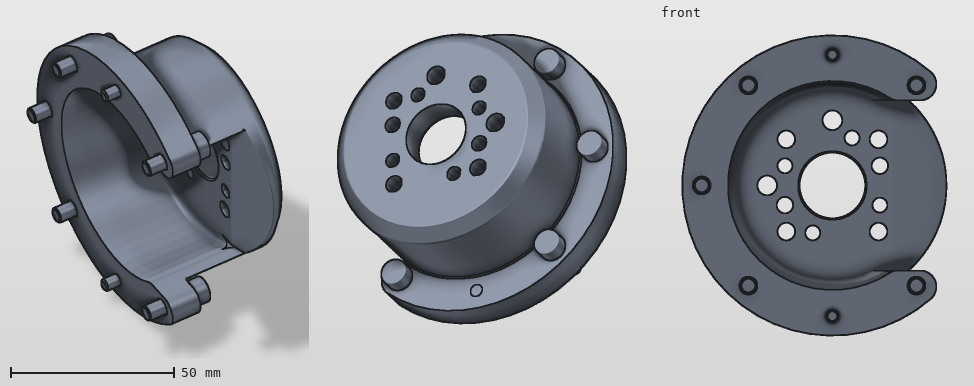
import cadquery as cq
import math


flange_radius = 46.0
flange_thickness = 10.0

cup_radius = 35.0
bore_radius = 32.0
overall_depth = 40.0
floor_thickness = 10.0
floor_y = overall_depth - floor_thickness
floor_fillet = 3.0
back_chamfer = 4.0
back_edge_fillet = 1.0
cup_root_fillet = 0.5

opening_half_height = 26.0
opening_corner_radius = 5.0
lip_start_x = 18.0
lip_angle = 15.0
lip_bend_radius = 5.0
lip_rim_fillet = 0.3

centre_hole_radius = 10.0
centre_hole_chamfer = 0.5
outer_hole_circle = 20.0
inner_hole_circle = 15.7
locating_hole_diameter = 6.0
locating_hole_angles = (90, 180)
large_hole_diameter = 5.3
large_hole_angles = (45, 135, 225, 315)
small_hole_diameter = 4.5
small_hole_angles = (67.5, 157.5, 247.5, 337.5)
medium_hole_diameter = 5.0
medium_hole_angles = (22.5, 202.5)

fastener_circle = 40.0
screw_angles = (50, 130, 180, 230, 310)
screw_diameter = 5.0
screw_hole_diameter = 5.5
screw_protrusion = 6.0
screw_tip_chamfer = 0.405
head_diameter = 8.5
head_height = 5.0
head_edge_fillet = 0.405
dowel_angles = (90, 270)
dowel_diameter = 4.0
dowel_protrusion = 5.0
dowel_tip_chamfer = 0.5

edge_margin = 0.5


def disc(radius, y_start, y_end, x=0.0, z=0.0):
    """Solid cylinder along Y."""
    start = cq.Vector(x, y_start, z)
    return cq.Workplane(cq.Solid.makeCylinder(radius, y_end - y_start, start, cq.Vector(0, 1, 0)))


def on_circle(radius, angle):
    """X and Z of a point on a circle about the housing axis."""
    return radius * math.cos(math.radians(angle)), radius * math.sin(math.radians(angle))


def make_front_space():
    """Everything in front of the cup floor and of the lip that slopes back from it."""
    reach = 2 * flange_radius
    angle = math.radians(lip_angle)
    bend_length = lip_bend_radius * math.tan(angle / 2)
    bend_start_x = lip_start_x - bend_length
    return (
        cq.Workplane("XY", origin=(0, 0, -reach))
        .moveTo(-reach, 0)
        .lineTo(-reach, floor_y)
        .lineTo(bend_start_x, floor_y)
        .threePointArc(
            (bend_start_x + lip_bend_radius * math.sin(angle / 2),
             floor_y + lip_bend_radius * (1 - math.cos(angle / 2))),
            (lip_start_x + bend_length * math.cos(angle), floor_y + bend_length * math.sin(angle)),
        )
        .lineTo(reach, floor_y + (reach - lip_start_x) * math.tan(angle))
        .lineTo(reach, 0)
        .close()
        .extrude(2 * reach)
    )


def make_opening():
    """Space between the two flange ends, from the housing axis out to +X."""
    reach = 2 * flange_radius
    slot = cq.Workplane("XY").box(reach, reach, 2 * opening_half_height, centered=(False, True, True))
    return make_front_space().intersect(slot)


def make_upper_corner():
    """Cutter that rounds the corner between the bore and the upper side of the opening.

    Over the height of the floor fillet it narrows to the line where the opening meets the floor.
    """
    centre_z = opening_half_height + opening_corner_radius
    centre_distance = bore_radius + opening_corner_radius
    centre_x = math.sqrt(centre_distance**2 - centre_z**2)
    bore_x = centre_x * bore_radius / centre_distance
    bore_z = centre_z * bore_radius / centre_distance
    run_out_x = math.sqrt((bore_radius - floor_fillet)**2 - opening_half_height**2)
    half_arc = math.asin((centre_x - bore_x) / opening_corner_radius) / 2
    mid_point = (
        centre_x - opening_corner_radius * math.sin(half_arc),
        centre_z - opening_corner_radius * math.cos(half_arc),
    )
    rounding = (
        cq.Workplane("XZ")
        .moveTo(run_out_x, opening_half_height)
        .lineTo(centre_x, opening_half_height)
        .threePointArc(mid_point, (bore_x, bore_z))
        .lineTo(run_out_x, bore_z)
        .close()
        .extrude(-floor_y)
    )
    narrowing = (
        cq.Workplane("YZ")
        .moveTo(0, opening_half_height)
        .lineTo(floor_y, opening_half_height)
        .lineTo(floor_y - floor_fillet, bore_z)
        .lineTo(0, bore_z)
        .close()
        .extrude(centre_x)
    )
    return rounding.intersect(narrowing)


def box_selector(x_range, y_range, z_range):
    """Selector for what has its centre inside a box."""
    return cq.selectors.BoxSelector(*zip(x_range, y_range, z_range))


def make_outer_shape():
    """Solid flange and cup with the bevelled back, before anything is hollowed out."""
    cup = disc(cup_radius, 0, overall_depth).faces(">Y").chamfer(back_chamfer)
    cup = cup.faces("not(#Y or >Y or <Y)").edges().fillet(back_edge_fillet)
    shape = cup.union(disc(flange_radius, 0, flange_thickness))
    across = (-flange_radius, flange_radius)
    at_root = (flange_thickness - edge_margin, flange_thickness + edge_margin)
    flange_back = shape.faces(box_selector(across, at_root, across))
    return flange_back.edges(cq.selectors.RadiusNthSelector(0)).fillet(cup_root_fillet)


def open_side(body):
    """Cut the side opening and round its corners at the flange, the bore and the lip."""
    body = body.cut(make_opening())

    end_x = math.sqrt(flange_radius**2 - opening_half_height**2)
    near_end = (end_x - edge_margin, end_x + edge_margin)
    across = (-flange_radius, flange_radius)
    body = body.edges("|Y").edges(box_selector(near_end, (0, flange_thickness), across))
    body = body.fillet(opening_corner_radius)

    rim_y = (floor_y + edge_margin, overall_depth - back_chamfer - back_edge_fillet)
    rim_x = (lip_start_x + lip_bend_radius, cup_radius)
    rim = body.edges(box_selector(rim_x, rim_y, across)).edges("not %LINE")
    body = rim.fillet(lip_rim_fillet)

    corner = make_upper_corner()
    return body.cut(corner).cut(corner.mirror("XY"))


def drill(body, diameter, circle, angles, y_start, y_end):
    """Cut a set of holes along Y, spread over a circle about the housing axis."""
    for angle in angles:
        body = body.cut(disc(diameter / 2, y_start, y_end, *on_circle(circle, angle)))
    return body


def cut_centre_hole(body):
    """Cut the large hole in the floor, with its chamfered front edge."""
    chamfer = cq.Solid.makeCone(
        centre_hole_radius + centre_hole_chamfer,
        centre_hole_radius,
        centre_hole_chamfer,
        cq.Vector(0, floor_y, 0),
        cq.Vector(0, 1, 0),
    )
    return body.cut(disc(centre_hole_radius, floor_y, overall_depth)).cut(cq.Workplane(chamfer))


def make_housing():
    bore = disc(bore_radius, 0, floor_y).faces(">Y").edges().fillet(floor_fillet)
    body = open_side(make_outer_shape().cut(bore))
    body = cut_centre_hole(body)

    floor = (floor_y, overall_depth)
    body = drill(body, locating_hole_diameter, outer_hole_circle, locating_hole_angles, *floor)
    body = drill(body, large_hole_diameter, outer_hole_circle, large_hole_angles, *floor)
    body = drill(body, medium_hole_diameter, inner_hole_circle, medium_hole_angles, *floor)
    body = drill(body, small_hole_diameter, inner_hole_circle, small_hole_angles, *floor)

    flange = (0, flange_thickness)
    body = drill(body, screw_hole_diameter, fastener_circle, screw_angles, *flange)
    return drill(body, dowel_diameter, fastener_circle, dowel_angles, *flange)


def make_screw(angle):
    x, z = on_circle(fastener_circle, angle)
    shank = disc(screw_diameter / 2, -screw_protrusion, flange_thickness, x, z)
    shank = shank.faces("<Y").chamfer(screw_tip_chamfer)
    head = disc(head_diameter / 2, flange_thickness, flange_thickness + head_height, x, z)
    return shank.union(head.faces(">Y").edges().fillet(head_edge_fillet))


def make_dowel(angle):
    x, z = on_circle(fastener_circle, angle)
    dowel = disc(dowel_diameter / 2, -dowel_protrusion, flange_thickness, x, z)
    return dowel.faces("<Y").chamfer(dowel_tip_chamfer)


housing = make_housing()
screws = [make_screw(angle) for angle in screw_angles]
dowels = [make_dowel(angle) for angle in dowel_angles]

result = cq.Compound.makeCompound([
    housing.val(),
    *[screw.val() for screw in screws],
    *[dowel.val() for dowel in dowels],
])